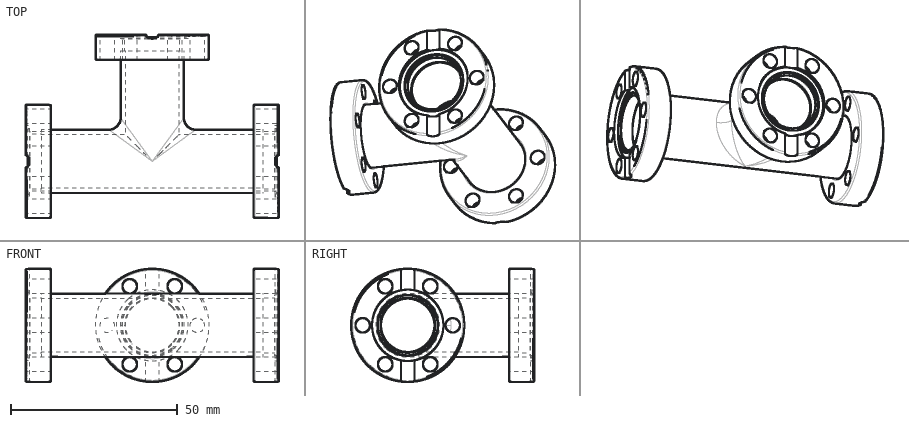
import cadquery as cq
face_distance = 38.0

tube_diameter = 19.0
tube_bore = 16.0
junction_fillet = 3.5
seam_turn = 90.0

flange_diameter = 34.0
flange_thickness = 7.65
rim_fillet = 0.5
flange_bore = 16.5

socket_diameter = 19.1
socket_depth = 2.8
socket_fillet = 0.5

recess_diameter = 21.4
recess_depth = 1.2
knife_diameter = 18.3
knife_depth = 0.65
knife_root_diameter = 18.0
knife_floor_depth = 1.3

bolt_count = 6
bolt_circle = 27.0
bolt_hole_diameter = 4.3

groove_radius = 2.2
groove_depth = 1.25

tube_reach = face_distance - flange_thickness + socket_depth


def cylinder_along(direction, diameter, start, length):
    """Cylinder on an axis through the origin, beginning at a distance from the origin."""
    axis = cq.Vector(*direction)
    return cq.Workplane(cq.Solid.makeCylinder(diameter / 2, length, axis * start, axis))


def make_tee_tube():
    """Run and branch tubes as one piece, filleted where they meet, bored through."""
    run = cylinder_along((1, 0, 0), tube_diameter, -tube_reach, 2 * tube_reach)
    branch = cylinder_along((0, 1, 0), tube_diameter, 0, tube_reach)
    run_bore = cylinder_along((1, 0, 0), tube_bore, -tube_reach, 2 * tube_reach)
    branch_bore = cylinder_along((0, 1, 0), tube_bore, 0, tube_reach)

    run = run.rotate((0, 0, 0), (1, 0, 0), seam_turn)
    branch = branch.rotate((0, 0, 0), (0, 1, 0), seam_turn)
    tee = run.union(branch).edges("%ELLIPSE").fillet(junction_fillet)
    return tee.cut(run_bore).cut(branch_bore)


def make_flange():
    """Flange on the Z axis: back at Z = 0, sealing face at the top, grooves along Y."""
    outer_radius = flange_diameter / 2
    socket_radius = socket_diameter / 2
    face = flange_thickness
    profile = [
        (socket_radius, 0),
        (outer_radius, 0),
        (outer_radius, face),
        (recess_diameter / 2, face),
        (recess_diameter / 2, face - recess_depth),
        (knife_diameter / 2, face - knife_depth),
        (knife_root_diameter / 2, face - knife_floor_depth),
        (flange_bore / 2, face - knife_floor_depth),
        (flange_bore / 2, socket_depth),
        (socket_radius, socket_depth),
    ]
    body = cq.Workplane("XZ").polyline(profile).close().revolve(360, (0, 0, 0), (0, 1, 0))
    body = body.edges(cq.selectors.RadiusNthSelector(-1)).fillet(rim_fillet)
    body = body.faces("<Z").edges(cq.selectors.RadiusNthSelector(0)).fillet(socket_fillet)

    bolt_holes = (
        cq.Workplane("XY")
        .polarArray(bolt_circle / 2, 0, 360, bolt_count)
        .circle(bolt_hole_diameter / 2)
        .extrude(flange_thickness)
    )

    groove_center = face + groove_radius - groove_depth
    grooves = (
        cq.Workplane("XZ")
        .center(0, groove_center)
        .circle(groove_radius)
        .extrude(outer_radius, both=True)
    )
    recess_core = cq.Workplane("XY").circle(recess_diameter / 2).extrude(2 * flange_thickness)
    return body.cut(bolt_holes).cut(grooves.cut(recess_core))


def place_flange(direction):
    """Flange with its sealing face square to a direction and its grooves along Z."""
    axis = cq.Vector(*direction)
    across = cq.Vector(0, 0, 1).cross(axis)
    seat = cq.Plane(axis * (face_distance - flange_thickness), across, axis)
    return make_flange().val().moved(cq.Location(seat))


tee_tube = make_tee_tube()
flanges = [place_flange(direction) for direction in [(1, 0, 0), (-1, 0, 0), (0, 1, 0)]]

result = cq.Compound.makeCompound([tee_tube.val(), *flanges])